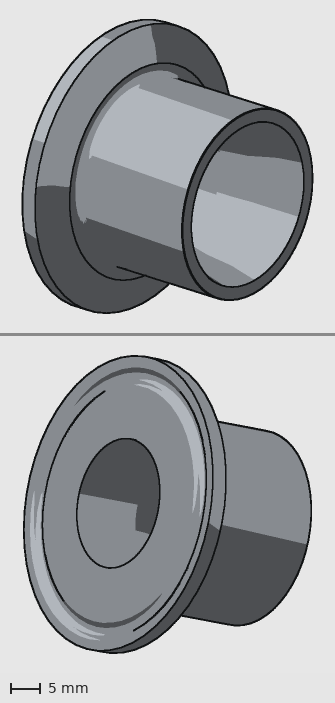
import cadquery as cq
import math

length = 28.55
flange_radius = 50.4 / 2
tube_radius = 33.4 / 2
bore_radius = 22.1 / 2

rim_width = 2.85
flange_thickness = 5.15
cone_inner_radius = 18.9

neck_radius = 1.45

end_chamfer = 0.1

groove_mid_radius = 21.8
groove_half_width = 1.95
groove_floor_arc = 1.2
groove_lip_arc = 1.0

straight_bore_length = 12.8
bore_end_radius = 28.7 / 2


def revolve_about_x(profile):
    return profile.close().revolve(360, (0, 0, 0), (1, 0, 0))


def make_body():
    neck_end = flange_thickness + neck_radius
    neck_mid = neck_radius * (1 - math.sqrt(0.5))
    return revolve_about_x(
        cq.Workplane("XY")
        .lineTo(0, flange_radius)
        .lineTo(rim_width, flange_radius)
        .lineTo(flange_thickness, cone_inner_radius)
        .lineTo(flange_thickness, tube_radius + neck_radius)
        .threePointArc(
            (flange_thickness + neck_mid, tube_radius + neck_mid),
            (neck_end, tube_radius),
        )
        .lineTo(length - end_chamfer, tube_radius)
        .lineTo(length, tube_radius - end_chamfer)
        .lineTo(length, 0)
    )


def make_gasket_groove():
    slope = math.asin(groove_half_width / (groove_floor_arc + groove_lip_arc))
    groove_depth = (groove_floor_arc + groove_lip_arc) * (1 - math.cos(slope))

    def lip_point(angle, side):
        offset = groove_half_width - groove_lip_arc * math.sin(angle)
        return (groove_lip_arc * (1 - math.cos(angle)), groove_mid_radius + side * offset)

    return revolve_about_x(
        cq.Workplane("XY")
        .moveTo(*lip_point(0, -1))
        .threePointArc(lip_point(slope / 2, -1), lip_point(slope, -1))
        .threePointArc((groove_depth, groove_mid_radius), lip_point(slope, 1))
        .threePointArc(lip_point(slope / 2, 1), lip_point(0, 1))
    )


def make_bore():
    return revolve_about_x(
        cq.Workplane("XY")
        .lineTo(0, bore_radius)
        .lineTo(straight_bore_length, bore_radius)
        .lineTo(length, bore_end_radius)
        .lineTo(length, 0)
    )


result = make_body().cut(make_gasket_groove()).cut(make_bore())